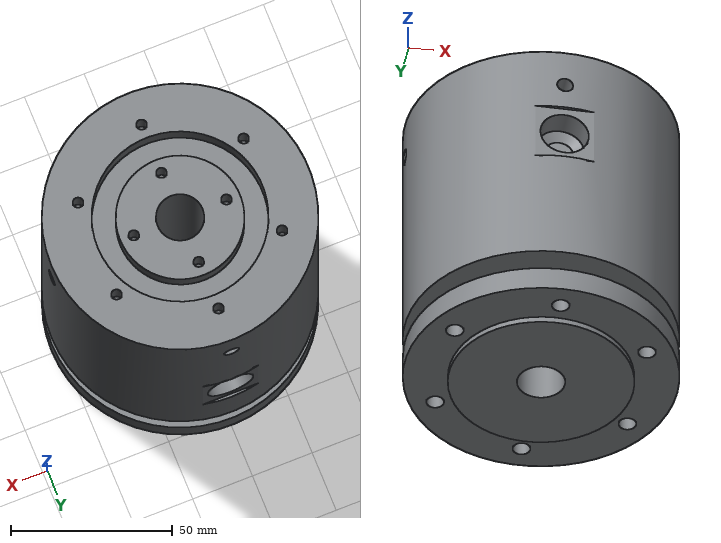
import cadquery as cq
import math

BODY_DIA = 86.0
NECK_DIA = 55.0
SPIGOT_DIA = 58.0
BORE_DIA = 15.0
TOP_Z = 98.0
BODY_BOTTOM_Z = 17.0
FLANGE_TOP_Z = 10.0
FLANGE_BOTTOM_Z = 2.0

RECESS_DIA = 55.0
HUB_DIA = 40.0
RECESS_DEPTH = 7.0
HUB_DROP = 1.0

DRILL_TIP_ANGLE = 118.0
TAP_HOLE_DIA = 3.3
TAP_HOLE_DEPTH = 8.0
BODY_HOLE_COUNT = 6
BODY_HOLE_RADIUS = 32.0
HUB_HOLE_COUNT = 4
HUB_HOLE_RADIUS = 15.5
SIDE_HOLE_DIA = 5.0
SIDE_HOLE_DEPTH = 6.0
SIDE_HOLE_Z = 85.0
SIDE_HOLE_COUNT = 4

FLANGE_HOLE_DIA = 5.5
FLANGE_HOLE_COUNT = 6
FLANGE_HOLE_RADIUS = 35.0

FLAT_DISTANCE = 42.0
FLAT_HEIGHT = 20.0
PORT_DIA = 15.25
PORT_FLOOR_DIA = 9.0
PORT_DEPTH = 8.0
FRONT_PORT_Z = 66.0
BACK_PORT_Z = 44.0

BODY_RADIUS = BODY_DIA / 2
FULL_TURN = 360.0
FRONT_ANGLE = 270.0
BACK_ANGLE = 90.0
TIP_SLOPE = math.tan(math.radians(DRILL_TIP_ANGLE / 2))


def disc(diameter, bottom_z, top_z):
    """Solid cylinder about Z between two heights."""
    return cq.Workplane("XY").workplane(offset=bottom_z).circle(diameter / 2).extrude(top_z - bottom_z)


def polar_point(radius, angle, z):
    """Point at a radius, an angle in degrees from +X, and a height."""
    turn = math.radians(angle)
    return cq.Vector(radius * math.cos(turn), radius * math.sin(turn), z)


def inward(angle):
    """Horizontal direction from the given side towards the axis."""
    return polar_point(-1, angle, 0)


def drill(mouth, direction, diameter, depth, floor_dia=0.0):
    """Cutter of full diameter to the given depth, then a drill cone down to floor_dia."""
    cone_height = (diameter - floor_dia) / 2 / TIP_SLOPE
    barrel = cq.Solid.makeCylinder(diameter / 2, depth, mouth, direction)
    cone_base = mouth + direction * depth
    cone = cq.Solid.makeCone(diameter / 2, floor_dia / 2, cone_height, cone_base, direction)
    return cq.Workplane(barrel.fuse(cone))


def turned_body():
    """Main cylinder, neck, flange and bottom spigot in one stack."""
    body = disc(BODY_DIA, BODY_BOTTOM_Z, TOP_Z)
    body = body.union(disc(NECK_DIA, FLANGE_TOP_Z, BODY_BOTTOM_Z))
    body = body.union(disc(BODY_DIA, FLANGE_BOTTOM_Z, FLANGE_TOP_Z))
    return body.union(disc(SPIGOT_DIA, 0, FLANGE_BOTTOM_Z))


def cut_top_recess_and_bore(part):
    """Ring recess that leaves a hub just below the top face, and the through bore."""
    hub = disc(HUB_DIA, TOP_Z - RECESS_DEPTH, TOP_Z - HUB_DROP)
    recess = disc(RECESS_DIA, TOP_Z - RECESS_DEPTH, TOP_Z).cut(hub)
    return part.cut(recess).cut(disc(BORE_DIA, 0, TOP_Z))


def cut_tap_holes(part, count, radius, start_angle, face_z):
    """Circle of blind holes drilled down from a horizontal face."""
    for index in range(count):
        mouth = polar_point(radius, start_angle + index * FULL_TURN / count, face_z)
        part = part.cut(drill(mouth, cq.Vector(0, 0, -1), TAP_HOLE_DIA, TAP_HOLE_DEPTH))
    return part


def cut_flange_holes(part):
    """Circle of through holes in the flange only."""
    holes = (
        cq.Workplane("XY")
        .workplane(offset=FLANGE_BOTTOM_Z)
        .polarArray(FLANGE_HOLE_RADIUS, FULL_TURN / FLANGE_HOLE_COUNT / 2, FULL_TURN, FLANGE_HOLE_COUNT)
        .circle(FLANGE_HOLE_DIA / 2)
        .extrude(FLANGE_TOP_Z - FLANGE_BOTTOM_Z)
    )
    return part.cut(holes)


def cut_side_holes(part):
    """Blind radial holes evenly spaced around the main cylinder."""
    for index in range(SIDE_HOLE_COUNT):
        angle = index * FULL_TURN / SIDE_HOLE_COUNT
        mouth = polar_point(BODY_RADIUS, angle, SIDE_HOLE_Z)
        part = part.cut(drill(mouth, inward(angle), SIDE_HOLE_DIA, SIDE_HOLE_DEPTH))
    return part


def cut_port(part, angle, z):
    """Flat milled on the cylinder with a flat-floored, cone-ended port in it."""
    flat_depth = BODY_RADIUS - FLAT_DISTANCE
    flat_centre = polar_point(FLAT_DISTANCE + flat_depth / 2, angle, z)
    flat = cq.Workplane("XY").box(flat_depth, BODY_DIA, FLAT_HEIGHT)
    flat = flat.rotate((0, 0, 0), (0, 0, 1), angle).translate(flat_centre)
    mouth = polar_point(FLAT_DISTANCE, angle, z)
    return part.cut(flat).cut(drill(mouth, inward(angle), PORT_DIA, PORT_DEPTH, PORT_FLOOR_DIA))


result = turned_body()
result = cut_top_recess_and_bore(result)
result = cut_tap_holes(result, BODY_HOLE_COUNT, BODY_HOLE_RADIUS, BACK_ANGLE, TOP_Z)
result = cut_tap_holes(result, HUB_HOLE_COUNT, HUB_HOLE_RADIUS, BACK_ANGLE, TOP_Z - HUB_DROP)
result = cut_flange_holes(result)
result = cut_side_holes(result)
result = cut_port(result, FRONT_ANGLE, FRONT_PORT_Z)
result = cut_port(result, BACK_ANGLE, BACK_PORT_Z)